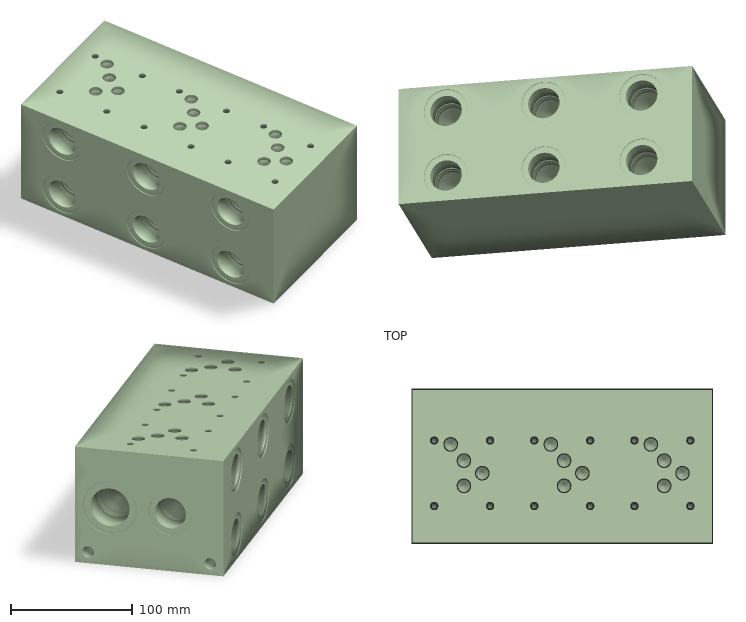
import cadquery as cq
import math

LENGTH = 247.6
WIDTH = 127.0
HEIGHT = 101.5

STATION_COUNT = 3
STATION_PITCH = 82.5
FIRST_STATION_X = LENGTH / 2 - STATION_PITCH * (STATION_COUNT - 1) / 2

BOLT_SPAN_X = 46.0
BOLT_SPAN_Y = 54.0
BOLT_CENTRE_Y = 57.7
BOLT_THREAD_DIAMETER = 6.0
BOLT_DRILL_DIAMETER = 5.0
BOLT_THREAD_DEPTH = 12.5
BOLT_DRILL_DEPTH = 14.9

PASSAGE_OFFSETS = [(13.5, 3.2), (24.5, 16.5), (24.5, 37.5), (39.6, 27.0)]
PASSAGE_DIAMETER = 11.1
PASSAGE_DEPTH = 3.0

WORK_PORT_SHIFT_X = -1.5
WORK_PORT_HEIGHTS = (22.3, 79.2)

SUPPLY_PORT_Y = 45.5
RETURN_PORT_Y = 97.0
END_PORT_HEIGHT = HEIGHT / 2

SPOTFACE_DEPTH = 0.7
SMALL_PORT = {"spotface": 37.1, "thread": 26.5, "drill": 24.5, "feed": 23.0, "thread_depth": 17.8}
LARGE_PORT = {"spotface": 46.5, "thread": 33.2, "drill": 30.7, "feed": 28.5, "thread_depth": 20.3}
TAP_DRILL_ALLOWANCE = 2.5
FEED_LENGTH = 2.5

MOUNT_EDGE_Y = 11.5
MOUNT_HEIGHT = 10.0
MOUNT_THREAD_DIAMETER = 10.0
MOUNT_DRILL_DIAMETER = 8.5
MOUNT_THREAD_DEPTH = 19.8
MOUNT_DRILL_DEPTH = 24.8

DRILL_POINT_ANGLE = 118.0


def drill_point_length(diameter):
    """Height of the cone left by a drill of this diameter."""
    return diameter / 2 / math.tan(math.radians(DRILL_POINT_ANGLE / 2))


def hole_cutter(profile):
    """Revolve (diameter, depth) points into a hole that ends in a drill point; +Z runs into the part."""
    last_diameter, last_depth = profile[-1]
    outline = [(0, 0)]
    outline += [(diameter / 2, depth) for diameter, depth in profile]
    outline.append((0, last_depth + drill_point_length(last_diameter)))
    return cq.Workplane("XZ").polyline(outline).close().revolve(360, (0, 0), (0, 1)).val()


def top_cutter(profile, x, y):
    plane = cq.Plane(origin=(x, y, HEIGHT), xDir=(1, 0, 0), normal=(0, 0, -1))
    return hole_cutter(profile).moved(cq.Location(plane))


def front_cutter(profile, x, z):
    plane = cq.Plane(origin=(x, 0, z), xDir=(1, 0, 0), normal=(0, 1, 0))
    return hole_cutter(profile).moved(cq.Location(plane))


def left_cutter(profile, y, z):
    plane = cq.Plane(origin=(0, y, z), xDir=(0, 1, 0), normal=(1, 0, 0))
    return hole_cutter(profile).moved(cq.Location(plane))


def tapped_profile(thread_diameter, thread_depth, drill_diameter, drill_depth):
    return [
        (thread_diameter, 0),
        (thread_diameter, thread_depth),
        (drill_diameter, thread_depth),
        (drill_diameter, drill_depth),
    ]


def port_profile(port):
    """Spotface, thread and tap drill, whose conical end leads into the feed bore."""
    thread_depth = port["thread_depth"]
    drill_depth = thread_depth + TAP_DRILL_ALLOWANCE
    feed_start = drill_depth + drill_point_length(port["drill"] - port["feed"])
    return [
        (port["spotface"], 0),
        (port["spotface"], SPOTFACE_DEPTH),
        (port["thread"], SPOTFACE_DEPTH),
        (port["thread"], thread_depth),
        (port["drill"], thread_depth),
        (port["drill"], drill_depth),
        (port["feed"], feed_start),
        (port["feed"], feed_start + FEED_LENGTH),
    ]


def station_cutters(station_x):
    """All holes that repeat with each valve station."""
    bolt = tapped_profile(BOLT_THREAD_DIAMETER, BOLT_THREAD_DEPTH, BOLT_DRILL_DIAMETER, BOLT_DRILL_DEPTH)
    passage = [(PASSAGE_DIAMETER, 0), (PASSAGE_DIAMETER, PASSAGE_DEPTH)]
    left_x = station_x - BOLT_SPAN_X / 2
    rear_y = BOLT_CENTRE_Y + BOLT_SPAN_Y / 2

    cutters = []
    for x in (left_x, left_x + BOLT_SPAN_X):
        for y in (rear_y, rear_y - BOLT_SPAN_Y):
            cutters.append(top_cutter(bolt, x, y))
    for offset_x, offset_y in PASSAGE_OFFSETS:
        cutters.append(top_cutter(passage, left_x + offset_x, rear_y - offset_y))
    for z in WORK_PORT_HEIGHTS:
        cutters.append(front_cutter(port_profile(SMALL_PORT), station_x + WORK_PORT_SHIFT_X, z))
    return cutters


def end_cutters():
    """Supply port, return port and the two mounting holes on the left face."""
    mount = tapped_profile(MOUNT_THREAD_DIAMETER, MOUNT_THREAD_DEPTH, MOUNT_DRILL_DIAMETER, MOUNT_DRILL_DEPTH)
    cutters = [
        left_cutter(port_profile(SMALL_PORT), SUPPLY_PORT_Y, END_PORT_HEIGHT),
        left_cutter(port_profile(LARGE_PORT), RETURN_PORT_Y, END_PORT_HEIGHT),
    ]
    for y in (MOUNT_EDGE_Y, WIDTH - MOUNT_EDGE_Y):
        cutters.append(left_cutter(mount, y, MOUNT_HEIGHT))
    return cutters


block = cq.Workplane("XY").box(LENGTH, WIDTH, HEIGHT, centered=False)

cutters = end_cutters()
for station in range(STATION_COUNT):
    cutters += station_cutters(FIRST_STATION_X + station * STATION_PITCH)

result = cq.Workplane(block.val().cut(*cutters).Solids()[0])